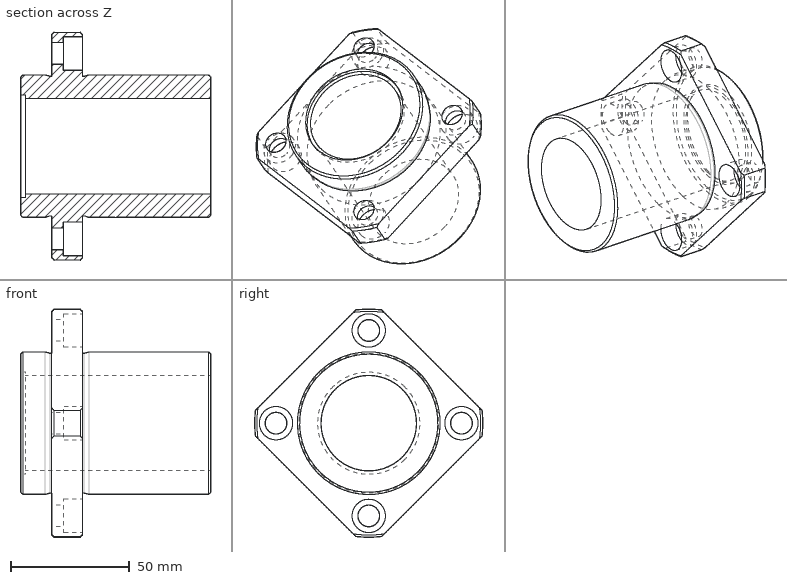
import cadquery as cq
import math

length = 80.0
sleeve_radius = 60.0 / 2
bore_diameter = 40.0
recess_diameter = 43.0
recess_depth = 2.0
edge_chamfer = 1.0

flange_diameter = 95.9
flange_start = 13.0
flange_thickness = 13.0
flange_end = flange_start + flange_thickness
flange_across_flats = 75.0

relief_depth = 0.6
relief_flat = 0.6
relief_taper = 2.2

bolt_count = 4
bolt_circle_radius = 38.9
bolt_diameter = 9.0
head_diameter = 14.0
head_depth = 8.1


def cylinder_along_x(diameter, start, depth, y=0, z=0):
    """Solid cylinder running in +X from the plane X = start."""
    axis_start = cq.Vector(start, y, z)
    solid = cq.Solid.makeCylinder(diameter / 2, depth, axis_start, cq.Vector(1, 0, 0))
    return cq.Workplane(obj=solid)


def make_sleeve():
    return cylinder_along_x(2 * sleeve_radius, 0, length).faces("<X or >X").chamfer(edge_chamfer)


def make_relief(face_x, direction):
    """Ring with a flat floor by the flange face, tapering out to the sleeve surface."""
    floor_radius = sleeve_radius - relief_depth
    floor_end = face_x + direction * relief_flat
    taper_end = floor_end + direction * relief_taper
    profile = cq.Workplane("XY").polyline([
        (face_x, floor_radius),
        (floor_end, floor_radius),
        (taper_end, sleeve_radius),
        (face_x, sleeve_radius),
    ]).close()
    return profile.revolve(360, (0, 0, 0), (1, 0, 0))


def make_flange():
    disc = cylinder_along_x(flange_diameter, flange_start, flange_thickness)
    disc = disc.faces("<X or >X").chamfer(edge_chamfer)
    square = (
        cq.Workplane("XY")
        .box(flange_thickness, flange_across_flats, flange_across_flats)
        .rotate((0, 0, 0), (1, 0, 0), 45)
        .translate((flange_start + flange_thickness / 2, 0, 0))
    )
    return disc.intersect(square)


def make_bolt_hole(angle):
    y = bolt_circle_radius * math.cos(angle)
    z = bolt_circle_radius * math.sin(angle)
    shank = cylinder_along_x(bolt_diameter, flange_start, flange_thickness, y, z)
    head = cylinder_along_x(head_diameter, flange_end - head_depth, head_depth, y, z)
    return shank.union(head)


result = make_sleeve()
result = result.cut(make_relief(flange_start, -1))
result = result.cut(make_relief(flange_end, 1))
result = result.union(make_flange())
result = result.cut(cylinder_along_x(bore_diameter, 0, length))
result = result.cut(cylinder_along_x(recess_diameter, 0, recess_depth))
for index in range(bolt_count):
    result = result.cut(make_bolt_hole(2 * math.pi * index / bolt_count))